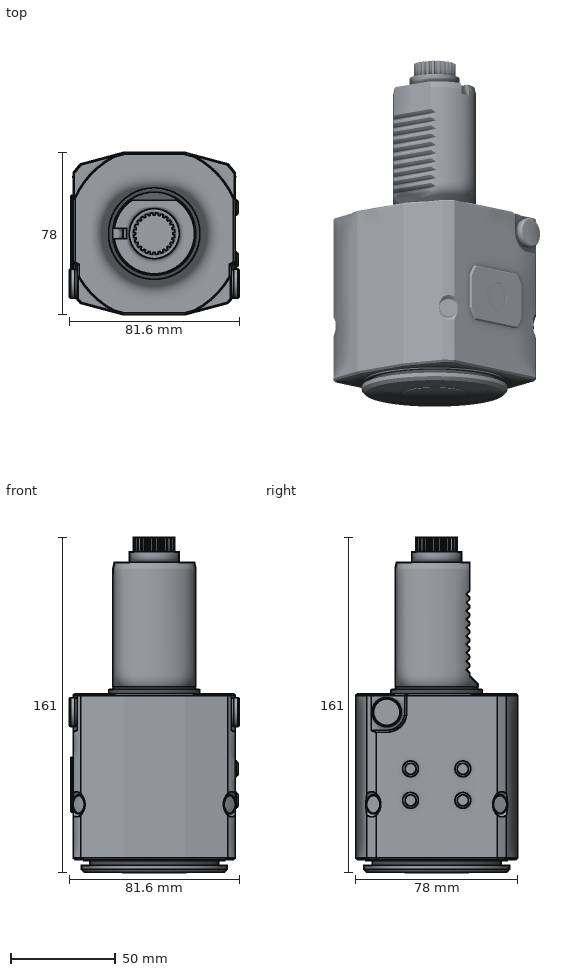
import cadquery as cq
import math


flange_z = 0.2
neck_z = 3.5
body_z = 6.3
body_top = 86.0
collar_top = 88.0
shaft_z = 89.4
shaft_top = 149.1
boss_top = 154.0
part_top = 161.0

body_half = 39.0
front_half_width = 14.8
side_slope = 15.0
corner_radius = 48.6
edge_chamfer = 1.0
rim_radius = 41.9
rim_step = 0.5
rim_chamfer = 0.3
bottom_ring_dia = 68.0

neck_dia = 62.0
flange_dia = 70.0
flange_chamfer = 1.6
bottom_pad_dia = 30.5

shaft_dia = 40.0
undercut_depth = 0.4
collar_dia = 44.0
collar_rounding = 0.8
undercut_rounding = 0.8
boss_dia = 24.0
shaft_taper_width = 0.6
shaft_taper_height = 2.9

flat_y = 16.0
flat_bottom = 94.5
serration_count = 10
serration_pitch = 4.0
serration_depth = 1.6
serration_top_z = 133.8

slot_width = 5.2
slot_floor_z = 143.8
slot_end_x = -15.1
slot_step_z = 146.5
slot_step_end_x = -13.2
slot_step_chamfer = 0.3

tooth_count = 24
spline_dia = 20.0
spline_root_dia = 17.9
tooth_root_width = 1.6
tooth_tip_width = 1.0

screw_y = -24.0
screw_z = 77.1
screw_neck_dia = 13.4
screw_head_dia = 14.0
screw_head_chamfer = 0.6
screw_head_x = 38.2
width_over_screws = 81.6
screw_end_x = width_over_screws / 2
pocket_floor_x = 37.0
pocket_radius = 8.7
pocket_flare = 1.0

side_centre_z = 42.3
plate_length = 36.7
plate_height = 26.4
plate_corner_dia = 40.0
plate_thickness = 1.1
plate_chamfer = 0.5
plate_recess_dia = 14.0
plate_recess_depth = 0.2
cap_dia = 7.5
cap_height = 1.5
cap_chamfer = 1.1
cap_spacing_y = 25.1
cap_spacing_z = 15.1

plug_z = 32.8
plug_angle = 40.0
plug_dia = 8.5
plug_face_radius = 47.5
plug_depth = 3.2
sink_floor_radius = 47.2
sink_floor_dia = 9.2
sink_slope_height = 2.5
sink_half_angle = 45.0


def disc(diameter, bottom, top):
    """Cylinder on the Z axis between two levels."""
    return cq.Workplane("XY").workplane(offset=bottom).circle(diameter / 2).extrude(top - bottom)


def x_disc(diameter, y, z, start, end):
    """Cylinder along X between two X positions."""
    return cq.Workplane("YZ", origin=(start, 0, 0)).center(y, z).circle(diameter / 2).extrude(end - start)


def mirrored_pair(solid):
    """A solid together with its mirror image across the YZ plane."""
    return solid.union(solid.mirror("YZ"))


def make_housing():
    """Block with sloped front and back, turned corners, screw pockets and lowered top corners."""
    slope_drop = (body_half - front_half_width) * math.tan(math.radians(side_slope))
    shoulder_y = body_half - slope_drop
    outline = [
        (front_half_width, body_half),
        (body_half, shoulder_y),
        (body_half, -shoulder_y),
        (front_half_width, -body_half),
        (-front_half_width, -body_half),
        (-body_half, -shoulder_y),
        (-body_half, shoulder_y),
        (-front_half_width, body_half),
    ]
    height = body_top - body_z
    block = cq.Workplane("XY").workplane(offset=body_z).polyline(outline).close().extrude(height)
    block = block.intersect(disc(2 * corner_radius, body_z, body_top))
    block = block.cut(mirrored_pair(make_pocket()))
    block = block.faces("<Z or >Z").chamfer(edge_chamfer)
    lowered_z = body_top - rim_step
    rim = disc(2 * rim_radius, lowered_z, body_top).faces(">Z").chamfer(rim_chamfer)
    lowered = disc(2 * corner_radius, lowered_z, body_top).cut(rim)
    return block.cut(lowered)


def make_flange():
    """Neck and chamfered flange below the housing."""
    ring = disc(bottom_ring_dia, body_z - rim_step, body_z)
    neck = disc(neck_dia, neck_z, body_z)
    flange = disc(flange_dia, flange_z, neck_z).faces("<Z").chamfer(flange_chamfer)
    pad = disc(bottom_pad_dia, 0, flange_z)
    return ring.union(neck).union(flange).union(pad)


def make_shaft():
    """Round shaft with collar, undercut, tapered top and boss."""
    undercut_radius = shaft_dia / 2 - undercut_depth
    collar_edge = collar_dia / 2 - collar_rounding
    foot = (
        cq.Workplane("XZ")
        .moveTo(0, body_top)
        .lineTo(collar_dia / 2, body_top)
        .lineTo(collar_dia / 2, collar_top - collar_rounding)
        .radiusArc((collar_edge, collar_top), -collar_rounding)
        .lineTo(undercut_radius + undercut_rounding, collar_top)
        .radiusArc((undercut_radius, collar_top + undercut_rounding), undercut_rounding)
        .lineTo(undercut_radius, shaft_z)
        .lineTo(0, shaft_z)
        .close()
        .revolve(360, (0, 0), (0, 1))
    )
    shaft = disc(shaft_dia, shaft_z, shaft_top)
    shaft = shaft.faces(">Z").chamfer(shaft_taper_height, shaft_taper_width)
    boss = disc(boss_dia, shaft_top, boss_top)
    return foot.union(shaft).union(boss)


def make_flat_cut():
    """Clamping flat that runs out at 45 degrees, with V-shaped serrations."""
    reach = collar_dia / 2 - flat_y
    flat = (
        cq.Workplane("YZ")
        .moveTo(flat_y, flat_bottom)
        .lineTo(flat_y + reach, flat_bottom - reach)
        .lineTo(flat_y + reach, shaft_top)
        .lineTo(flat_y, shaft_top)
        .close()
        .extrude(shaft_dia / 2, both=True)
    )
    for index in range(serration_count):
        z = serration_top_z - index * serration_pitch
        groove = (
            cq.Workplane("YZ")
            .moveTo(flat_y - serration_depth, z)
            .lineTo(flat_y + serration_depth, z + 2 * serration_depth)
            .lineTo(flat_y + serration_depth, z - 2 * serration_depth)
            .close()
            .extrude(shaft_dia / 2, both=True)
        )
        flat = flat.union(groove)
    return flat


def make_key_slot():
    """Stepped slot with a chamfered step, open to the shaft's top and -X side."""
    return (
        cq.Workplane("XZ")
        .moveTo(-collar_dia / 2, slot_floor_z)
        .lineTo(slot_end_x, slot_floor_z)
        .lineTo(slot_end_x, slot_step_z - slot_step_chamfer)
        .lineTo(slot_end_x + slot_step_chamfer, slot_step_z)
        .lineTo(slot_step_end_x, slot_step_z)
        .lineTo(slot_step_end_x, shaft_top)
        .lineTo(-collar_dia / 2, shaft_top)
        .close()
        .extrude(slot_width / 2, both=True)
    )


def make_spline():
    """Tapered teeth round a core."""
    spline = disc(spline_root_dia, boss_top, part_top)
    root_x = spline_root_dia / 2 * math.cos(math.asin(tooth_root_width / spline_root_dia))
    tip_x = spline_dia / 2
    outline = [
        (0, 0),
        (root_x, -tooth_root_width / 2),
        (tip_x, -tooth_tip_width / 2),
        (tip_x, tooth_tip_width / 2),
        (root_x, tooth_root_width / 2),
    ]
    tooth_plane = cq.Workplane("XY").workplane(offset=boss_top)
    tooth = tooth_plane.polyline(outline).close().extrude(part_top - boss_top)
    pitch_angle = 360 / tooth_count
    for index in range(tooth_count):
        angle = index * pitch_angle + pitch_angle / 2
        spline = spline.union(tooth.rotate((0, 0, 0), (0, 0, 1), angle))
    return spline


def make_pocket():
    """Flared pocket round the -X coolant screw, open to the top and to the front."""
    depth = body_half - pocket_floor_x
    reach = body_half
    wall_y = screw_y + pocket_radius
    wall_bottom = screw_z - pocket_radius
    corner = pocket_radius * math.sqrt(0.5)
    flare_angle = math.degrees(math.atan2(pocket_flare, depth))
    return (
        cq.Workplane("YZ", origin=(-pocket_floor_x, 0, 0))
        .moveTo(wall_y, screw_z + reach)
        .lineTo(wall_y, screw_z)
        .threePointArc((screw_y + corner, screw_z - corner), (screw_y, wall_bottom))
        .lineTo(screw_y - reach, wall_bottom)
        .lineTo(screw_y - reach, screw_z + reach)
        .close()
        .extrude(-2 * depth, taper=-flare_angle)
    )


def make_coolant_screw():
    """Screw neck and chamfered head on the -X side."""
    neck = x_disc(screw_neck_dia, screw_y, screw_z, -pocket_floor_x, -screw_head_x)
    head = x_disc(screw_head_dia, screw_y, screw_z, -screw_head_x, -screw_end_x)
    return neck.union(head.faces("<X").chamfer(screw_head_chamfer))


def make_cover_plate():
    """Chamfered plate with corners rounded about its centre and a shallow round recess."""
    outer_x = -body_half - plate_thickness
    plate = cq.Workplane("XY").box(plate_thickness, plate_length, plate_height, centered=(False, True, True))
    plate = plate.translate((outer_x, 0, side_centre_z))
    plate = plate.intersect(x_disc(plate_corner_dia, 0, side_centre_z, -body_half, outer_x))
    plate = plate.faces("<X").chamfer(plate_chamfer)
    return plate.cut(x_disc(plate_recess_dia, 0, side_centre_z, outer_x, outer_x + plate_recess_depth))


def make_caps():
    """Four chamfered screw caps on the +X side."""
    caps = (
        cq.Workplane("YZ", origin=(body_half, 0, side_centre_z))
        .rect(cap_spacing_y, cap_spacing_z, forConstruction=True)
        .vertices()
        .circle(cap_dia / 2)
        .extrude(cap_height)
    )
    return caps.faces(">X").chamfer(cap_chamfer)


def make_plug_sink():
    """Cone that opens outward round the plug face, along +X."""
    plane = cq.Workplane("YZ", origin=(sink_floor_radius, 0, plug_z))
    return plane.circle(sink_floor_dia / 2).extrude(sink_slope_height, taper=-sink_half_angle)


def make_plug():
    """Plug with a flat face, lying along +X."""
    return x_disc(plug_dia, 0, plug_z, plug_face_radius - plug_depth, plug_face_radius)


housing = make_housing()
for angle in (plug_angle, 180 - plug_angle, 180 + plug_angle, -plug_angle):
    housing = housing.cut(make_plug_sink().rotate((0, 0, 0), (0, 0, 1), angle))
    housing = housing.union(make_plug().rotate((0, 0, 0), (0, 0, 1), angle))

shaft = make_shaft().cut(make_flat_cut()).cut(make_key_slot())

result = housing.union(make_flange()).union(shaft).union(make_spline())
result = result.union(mirrored_pair(make_coolant_screw()))
result = result.union(make_cover_plate()).union(make_caps())